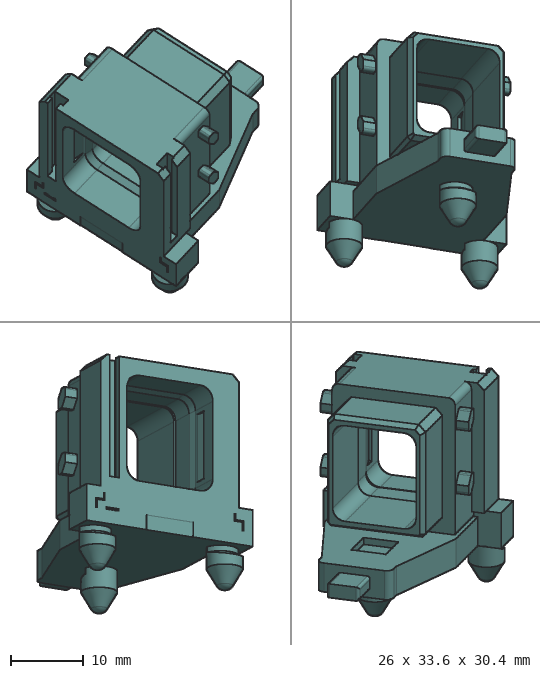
import cadquery as cq
import math


plate_height = 4.27
plate_half_width = 9.6
plate_rear_half_width = 5.45
plate_taper_start = 14.05
plate_taper_end = 26.95
plate_depth = 29.0
plate_corner_radius = 1.0
flange_width = 26.0
flange_depth = 5.05
flange_height = 5.28
tongue_width = 4.67
tongue_bottom = 1.1
tongue_height = 2.05
tongue_radius = 0.4
total_depth = 33.6

housing_top = 24.35
front_width = 21.7
front_depth = 5.95
front_chamfer = 1.0
rear_width = 18.0
rear_depth = 12.7
rear_radius = 1.0
rear_bottom = 3.6

nozzle_width = 14.3
nozzle_bottom = 6.15
nozzle_top = 22.68
nozzle_end = 20.55
nozzle_top_chamfer = 1.0
nozzle_bottom_chamfer = 0.5
nozzle_lead_length = 0.95
nozzle_lead_inset = 0.5

opening_center_z = 14.45
entry_width, entry_height, entry_radius = 13.47, 15.22, 2.0
throat_width, throat_height, throat_radius = 12.75, 14.45, 1.8
outlet_width, outlet_height, outlet_radius = 12.2, 14.1, 1.78
funnel_start = 5.05
funnel_end = 6.18
ledge_y = 10.08

notch_front = 2.62
notch_rear = 4.47
notch_height = 9.75
notch_depth = 0.5

slot_bottom = 6.85
slot_head_width = 2.4
slot_neck_width = 1.45
slot_head_thickness = 1.15
front_slot_x = -8.67
front_slot_neck = 1.05
side_slot_y = 2.3
side_slot_neck = 0.95

peg_tip_x = front_width / 2
peg_front = 10.18
peg_length = 2.1
peg_height = 2.82
peg_flat_length = 1.08
peg_flat_height = 1.48
peg_radius = 0.3
peg_foot_radius = 0.5
upper_peg_bottom = 19.52
peg_spacing = 9.45

pin_radius = 2.52
pin_spread = 9.98
rear_pin_y = 20.4
pin_length = 6.05
pin_shoulder = 3.05
pin_tip_radius = 1.35
pin_tip_half_angle = math.radians(31)
stem_offset = 1.25
hook_depth = 0.8
hook_slope = 0.57

pocket_width = 5.07
pocket_depth = 1.0
relief_width = 7.32
relief_height = 2.15
relief_depth = 0.07
mark_width = 0.17
mark_depth = 0.1
mark_bottom, mark_middle, mark_top = 2.1, 3.3, 4.35
mark_outer_x, mark_inner_x = 11.6, 10.35
slit_x = -9.0
slit_z = 2.22
slit_width = 2.0
slit_height = 0.27
slit_depth = 0.35


def block(x0, x1, y0, y1, z0, z1):
    """Box between two opposite corners."""
    return cq.Workplane("XY").box(x1 - x0, y1 - y0, z1 - z0, centered=False).translate((x0, y0, z0))


def centered_block(width, y0, y1, z0, z1):
    return block(-width / 2, width / 2, y0, y1, z0, z1)


def both_sides(body):
    """The body together with its mirror image across the mid-plane."""
    return body.union(body.mirror("YZ"))


def make_base():
    right_side = [
        (plate_half_width, 0),
        (plate_half_width, plate_taper_start),
        (plate_rear_half_width, plate_taper_end),
        (plate_rear_half_width, plate_depth),
    ]
    left_side = [(-x, y) for x, y in reversed(right_side)]
    plate = cq.Workplane("XY").polyline(right_side + left_side).close().extrude(plate_height)
    plate = plate.edges("|Z and >Y").fillet(plate_corner_radius)
    flange = centered_block(flange_width, 0, flange_depth, 0, flange_height)
    tongue = centered_block(
        tongue_width, plate_depth, total_depth, tongue_bottom, tongue_bottom + tongue_height
    )
    tongue = tongue.edges("|Y or (|Z and >Y)").fillet(tongue_radius)
    return plate.union(flange).union(tongue)


def make_housing():
    front = centered_block(front_width, 0, front_depth, flange_height, housing_top)
    front = front.edges("|Y and >Z").chamfer(front_chamfer)
    rear = centered_block(rear_width, 0, rear_depth, rear_bottom, housing_top)
    rear = rear.edges("|Y").fillet(rear_radius)
    return front.union(rear)


def make_nozzle():
    lead_start = nozzle_end - nozzle_lead_length
    nozzle = centered_block(nozzle_width, front_depth, lead_start, nozzle_bottom, nozzle_top)
    nozzle = nozzle.edges("|Y and >Z").chamfer(nozzle_top_chamfer)
    nozzle = nozzle.edges("|Y and <Z").chamfer(nozzle_bottom_chamfer)
    lead_angle = math.degrees(math.atan2(nozzle_lead_inset, nozzle_lead_length))
    lead = nozzle.faces(">Y").wires().toPending().workplane()
    return lead.extrude(nozzle_lead_length, taper=lead_angle)


def rounded_outline(width, height, radius):
    return cq.Sketch().rect(width, height).vertices().fillet(radius)


def opening_stage(outline, y0, y1):
    plane = cq.Workplane("XZ", origin=(0, y0, opening_center_z))
    return plane.placeSketch(outline).extrude(y0 - y1)


def make_opening():
    entry = rounded_outline(entry_width, entry_height, entry_radius)
    throat = rounded_outline(throat_width, throat_height, throat_radius)
    outlet = rounded_outline(outlet_width, outlet_height, outlet_radius)
    funnel = (
        cq.Workplane("XZ", origin=(0, funnel_start, opening_center_z))
        .placeSketch(entry, throat.moved(cq.Location(cq.Vector(0, 0, funnel_start - funnel_end))))
        .loft()
    )
    return (
        opening_stage(entry, 0, funnel_start)
        .union(funnel)
        .union(opening_stage(throat, funnel_end, ledge_y))
        .union(opening_stage(outlet, ledge_y, nozzle_end))
    )


def make_notches():
    wall_x = entry_width / 2
    outline = [
        (0, notch_front),
        (wall_x + notch_depth, notch_front),
        (wall_x, notch_rear),
        (0, notch_rear),
    ]
    wedge = (
        cq.Workplane("XY", origin=(0, 0, opening_center_z))
        .polyline(outline)
        .close()
        .extrude(notch_height / 2, both=True)
    )
    return both_sides(wedge)


def make_t_slot(neck_length):
    """T-slot entering at y = 0, with its neck centred on x = 0."""
    neck = centered_block(slot_neck_width, 0, neck_length, slot_bottom, housing_top)
    head_end = neck_length + slot_head_thickness
    head = centered_block(slot_head_width, neck_length, head_end, slot_bottom, housing_top)
    return neck.union(head)


def make_peg(bottom):
    """Slanted hexagonal peg with rounded corners, reaching out on both sides of the housing."""
    half_outline = [
        (-peg_length / 2, peg_height / 2),
        (peg_flat_length - peg_length / 2, peg_height / 2),
        (peg_length / 2, peg_flat_height - peg_height / 2),
    ]
    outline = half_outline + [(-y, -z) for y, z in half_outline]
    peg = cq.Workplane("YZ").polyline(outline).close().extrude(peg_tip_x, both=True)
    peg = peg.faces(">Z").edges("|X").fillet(peg_radius)
    peg = peg.faces("<Z").edges(">Y").fillet(peg_foot_radius)
    return peg.translate((0, peg_front + peg_length / 2, bottom + peg_height / 2))


def make_pin(x, y, hook_direction):
    """Snap pin whose hook points along +Y or -Y, as given by the sign of hook_direction."""
    tip_tangent_r = pin_tip_radius * math.cos(pin_tip_half_angle)
    tip_center_z = pin_tip_radius - pin_length
    tip_tangent_z = tip_center_z - pin_tip_radius * math.sin(pin_tip_half_angle)
    tip_mid_angle = (math.pi / 2 + pin_tip_half_angle) / 2
    tip_mid = (
        pin_tip_radius * math.cos(tip_mid_angle),
        tip_center_z - pin_tip_radius * math.sin(tip_mid_angle),
    )
    shank = (
        cq.Workplane("XZ")
        .lineTo(pin_radius, 0)
        .lineTo(pin_radius, -pin_shoulder)
        .lineTo(tip_tangent_r, tip_tangent_z)
        .threePointArc(tip_mid, (0, -pin_length))
        .close()
        .revolve(360, (0, 0, 0), (0, 1, 0))
    )
    reach = 2 * pin_radius
    clearance = (
        cq.Workplane("XZ")
        .moveTo(pin_radius, 0)
        .lineTo(reach, 0)
        .lineTo(reach, -hook_depth - hook_slope * (reach - pin_radius))
        .lineTo(pin_radius, -hook_depth)
        .close()
        .revolve(360, (0, 0, 0), (0, 1, 0))
        .translate((0, -hook_direction * stem_offset, 0))
    )
    return shank.cut(clearance).translate((x, y, 0))


def make_pocket():
    half = pocket_width / 2
    return centered_block(
        pocket_width, rear_pin_y - half, rear_pin_y + half, plate_height - pocket_depth, plate_height
    )


def make_front_marks():
    relief = (
        cq.Workplane("YZ")
        .polyline([(0, 0), (relief_depth, 0), (0, relief_height)])
        .close()
        .extrude(relief_width / 2, both=True)
    )
    outer_edge = mark_outer_x - mark_width
    inner_edge = mark_inner_x - mark_width
    lower_leg = block(outer_edge, mark_outer_x, 0, mark_depth, mark_bottom, mark_middle)
    bar = block(inner_edge, mark_outer_x, 0, mark_depth, mark_middle, mark_middle + mark_width)
    upper_leg = block(inner_edge, mark_inner_x, 0, mark_depth, mark_middle, mark_top)
    step = lower_leg.union(bar).union(upper_leg)
    slit = (
        cq.Workplane("XY", origin=(slit_x, 0, slit_z))
        .moveTo(-slit_width / 2, 0)
        .threePointArc((0, slit_depth), (slit_width / 2, 0))
        .close()
        .extrude(slit_height / 2, both=True)
    )
    return both_sides(step).union(relief).union(slit)


pegs = make_peg(upper_peg_bottom).union(make_peg(upper_peg_bottom - peg_spacing))
front_slot = make_t_slot(front_slot_neck).translate((front_slot_x, 0, 0))
side_slot = (
    make_t_slot(side_slot_neck)
    .rotate((0, 0, 0), (0, 0, 1), 90)
    .translate((front_width / 2, side_slot_y, 0))
)

result = (
    make_base()
    .union(make_housing())
    .union(make_nozzle())
    .union(pegs)
    .union(make_pin(-pin_spread, pin_radius, -1))
    .union(make_pin(pin_spread, pin_radius, -1))
    .union(make_pin(0, rear_pin_y, 1))
    .cut(make_opening())
    .cut(make_notches())
    .cut(front_slot)
    .cut(side_slot)
    .cut(make_pocket())
    .cut(make_front_marks())
)